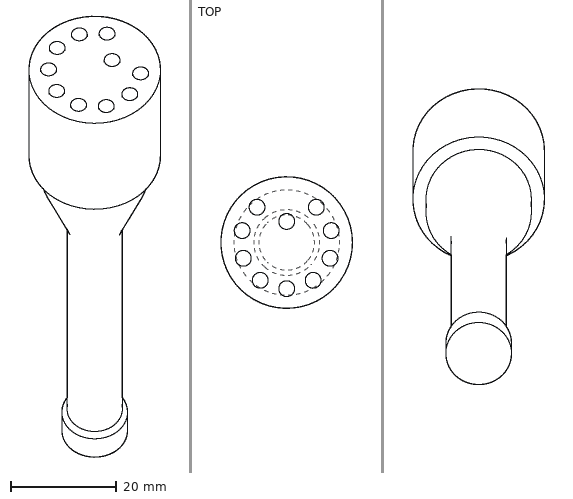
import cadquery as cq
import math

TIP_DIAMETER = 12.5
TIP_STRAIGHT_HEIGHT = 6.0
SHAFT_DIAMETER = 10.5
SHAFT_LENGTH = 60.0
TIP_CHAMFER_HEIGHT = (TIP_DIAMETER - SHAFT_DIAMETER) / 2
CONE_LENGTH = 15.0
COLLAR_DIAMETER = 20.0
COLLAR_LENGTH = 7.5
HEAD_DIAMETER = 25.0
HEAD_LENGTH = 28.0

HOLE_DIAMETER = 3.0
HOLE_DEPTH = 10.0
HOLE_RING_RADIUS = 8.75
HOLE_RING_COUNT = 9
HOLE_SPACING_ANGLE = 35.0
RING_MIDDLE_ANGLE = -90.0
KEY_HOLE_OFFSET = 4.0

TIP_TOP = TIP_STRAIGHT_HEIGHT + TIP_CHAMFER_HEIGHT
SHAFT_TOP = TIP_TOP + SHAFT_LENGTH
CONE_TOP = SHAFT_TOP + CONE_LENGTH
COLLAR_TOP = CONE_TOP + COLLAR_LENGTH
HEAD_TOP = COLLAR_TOP + HEAD_LENGTH


def make_body():
    """Revolve the half profile (radius, height) around Z."""
    tip_radius = TIP_DIAMETER / 2
    shaft_radius = SHAFT_DIAMETER / 2
    collar_radius = COLLAR_DIAMETER / 2
    head_radius = HEAD_DIAMETER / 2
    profile = [
        (0, 0),
        (tip_radius, 0),
        (tip_radius, TIP_STRAIGHT_HEIGHT),
        (shaft_radius, TIP_TOP),
        (shaft_radius, SHAFT_TOP),
        (collar_radius, CONE_TOP),
        (collar_radius, COLLAR_TOP),
        (head_radius, COLLAR_TOP),
        (head_radius, HEAD_TOP),
        (0, HEAD_TOP),
    ]
    return cq.Workplane("XZ").polyline(profile).close().revolve(360, (0, 0), (0, 1))


def hole_centres():
    """Open ring of holes symmetric about -Y, plus one key hole on the +Y side."""
    first_angle = RING_MIDDLE_ANGLE - HOLE_SPACING_ANGLE * (HOLE_RING_COUNT - 1) / 2
    centres = [(0, KEY_HOLE_OFFSET)]
    for index in range(HOLE_RING_COUNT):
        angle = math.radians(first_angle + index * HOLE_SPACING_ANGLE)
        centres.append((HOLE_RING_RADIUS * math.cos(angle), HOLE_RING_RADIUS * math.sin(angle)))
    return centres


def make_holes():
    return (
        cq.Workplane("XY", origin=(0, 0, HEAD_TOP))
        .pushPoints(hole_centres())
        .circle(HOLE_DIAMETER / 2)
        .extrude(-HOLE_DEPTH)
    )


result = make_body().cut(make_holes())